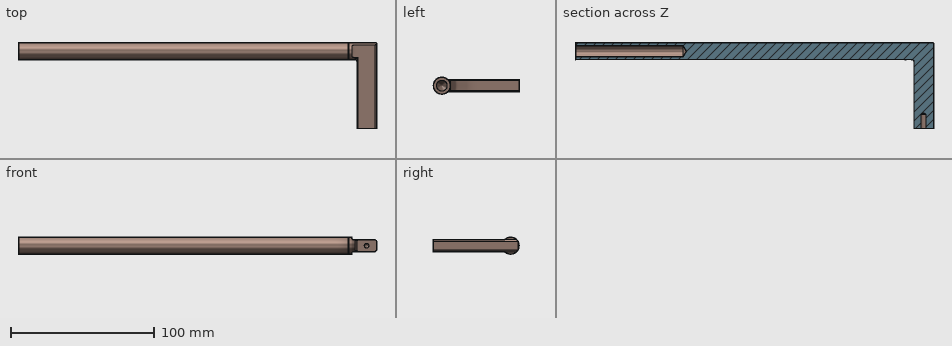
import cadquery as cq
import math

length = 250.0
reach = 60.0
rod_diameter = 12.0
rod_radius = rod_diameter / 2

bore_diameter = 7.5
bore_depth = 75.0
drill_point_angle = 118.0
joint_x = 229.8
joint_width = 0.8
joint_depth = 0.12

collar_end = 232.5
step_radius = 1.0
arm_width = 14.0
arm_thickness = 8.5
inner_corner_radius = 1.2
outer_edge_chamfer = 1.2
inner_edge_chamfer = 0.8
corner_chamfer = 0.8

end_hole_diameter = 3.2
end_hole_depth = 10.0
end_hole_from_outer_side = 7.2

arm_inner_x = length - arm_width
arm_end_y = rod_radius - reach
half_thickness = arm_thickness / 2


def drill(diameter, depth, start, direction):
    """Blind drilled hole: a cylinder with a conical tip."""
    radius = diameter / 2
    tip = radius / math.tan(math.radians(drill_point_angle / 2))
    bottom = start + direction * depth
    cylinder = cq.Solid.makeCylinder(radius, depth, start, direction)
    cone = cq.Solid.makeCone(radius, 0, tip, bottom, direction)
    return cq.Workplane(cylinder.fuse(cone))


def make_rod():
    """Rod with a fine groove where it meets the handle collar."""
    groove_end = joint_x + joint_width
    rod = cq.Workplane("YZ").circle(rod_radius).extrude(collar_end + step_radius)
    groove = (
        cq.Workplane("YZ", origin=(joint_x, 0, 0))
        .circle(rod_radius)
        .circle(rod_radius - joint_depth)
        .extrude(groove_end - joint_x)
    )
    return rod.cut(groove)


def make_step_cut():
    """Material above one flat, with a concave round against the collar."""
    flat_start = collar_end + step_radius
    arc_offset = step_radius * (1 - math.sqrt(0.5))
    return (
        cq.Workplane("XZ")
        .moveTo(collar_end, rod_diameter)
        .lineTo(collar_end, half_thickness + step_radius)
        .threePointArc(
            (collar_end + arc_offset, half_thickness + arc_offset),
            (flat_start, half_thickness),
        )
        .lineTo(length, half_thickness)
        .lineTo(length, rod_diameter)
        .close()
        .extrude(rod_diameter, both=True)
    )


def make_neck():
    """Round continuation of the rod, before its flats are cut."""
    return (
        cq.Workplane("YZ", origin=(collar_end, 0, 0))
        .circle(rod_radius)
        .extrude(length - collar_end)
    )


def make_arm():
    """Rectangular bar with bevelled long edges."""
    arm = cq.Workplane("XY").box(
        arm_width, -arm_end_y, arm_thickness, centered=(False, False, True)
    ).translate((arm_inner_x, arm_end_y, 0))
    arm = arm.faces(">X").edges("|Y").chamfer(outer_edge_chamfer)
    return arm.faces("<X").edges("|Y").chamfer(inner_edge_chamfer)


def make_inner_corner():
    """Concave round between the neck and the inner side of the arm."""
    neck_y = -rod_radius
    radius = inner_corner_radius
    arc_offset = radius * (1 - math.sqrt(0.5))
    return (
        cq.Workplane("XY", origin=(0, 0, -half_thickness + inner_edge_chamfer))
        .moveTo(arm_inner_x - radius, neck_y)
        .threePointArc(
            (arm_inner_x - arc_offset, neck_y - arc_offset),
            (arm_inner_x, neck_y - radius),
        )
        .lineTo(arm_inner_x + radius, neck_y - radius)
        .lineTo(arm_inner_x + radius, neck_y + radius)
        .lineTo(arm_inner_x - radius, neck_y + radius)
        .close()
        .extrude(arm_thickness - 2 * inner_edge_chamfer)
    )


def make_outer_bevel(y, size):
    """Vertical bevel at the outer corner of the handle."""
    return (
        cq.Workplane("XY", origin=(0, 0, -rod_radius))
        .moveTo(length - size, y)
        .lineTo(length, y)
        .lineTo(length, y - size)
        .close()
        .extrude(rod_diameter)
    )


def make_end_bevel():
    """Bevel where a flat meets the outer side."""
    return (
        cq.Workplane("XZ")
        .moveTo(length - outer_edge_chamfer, half_thickness)
        .lineTo(length, half_thickness)
        .lineTo(length, half_thickness - outer_edge_chamfer)
        .close()
        .extrude(rod_diameter, both=True)
    )


step_cut = make_step_cut()
end_bevel = make_end_bevel()
neck = make_neck()
for cutter in (step_cut, end_bevel):
    neck = neck.cut(cutter).cut(cutter.mirror("XY"))
rod = make_rod().cut(step_cut).cut(step_cut.mirror("XY"))

bore = drill(bore_diameter, bore_depth, cq.Vector(0, 0, 0), cq.Vector(1, 0, 0))
end_hole = drill(
    end_hole_diameter,
    end_hole_depth,
    cq.Vector(length - end_hole_from_outer_side, arm_end_y, 0),
    cq.Vector(0, 1, 0),
)

result = (
    rod.union(neck)
    .union(make_arm())
    .union(make_inner_corner())
    .cut(make_outer_bevel(rod_radius, corner_chamfer))
    .cut(bore)
    .cut(end_hole)
)